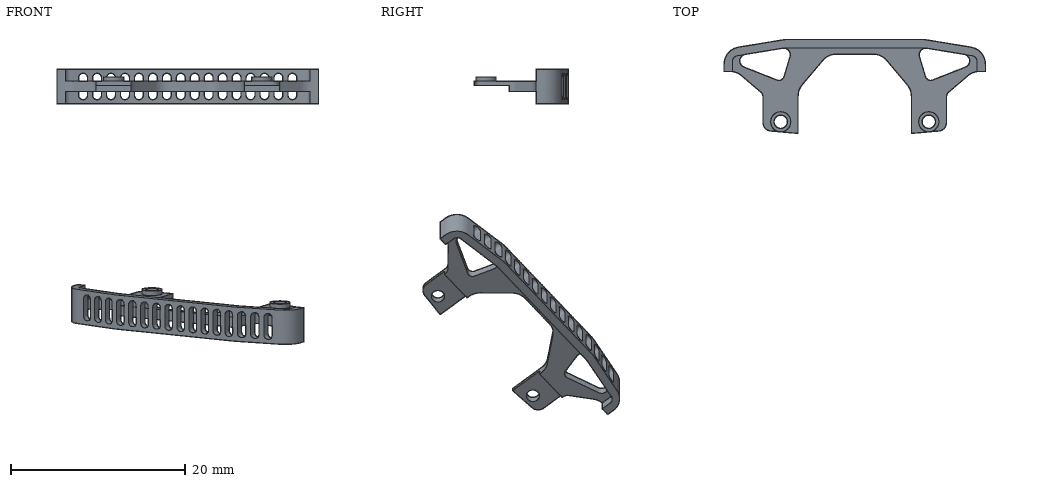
import cadquery as cq
import math


length = 30.0
depth = 10.8
wall_height = 4.0
wall_thickness = 1.0
wall_bend_x = 7.95
sweep_angle = math.radians(9.3)
wall_end_y = -3.7
outer_corner_radius = 2.0
inner_corner_radius = 0.63
inner_bend_radius = 1.2

slot_count = 16
slot_row_length = 24.0
slot_width = 1.0
slot_height = 3.0

plate_thickness = 1.2
plate_edge_y = -1.7
brace_angle = math.radians(49.8)
brace_top_x = 3.05
brace_radius = 1.95
arm_angle = math.radians(40.5)
arm_radius = 1.95
leg_outer_x = 10.53
leg_inner_x = 6.48
leg_shoulder_y = -6.27
leg_shoulder_radius = 0.72
leg_corner_radius = 1.0
leg_end_angle = math.radians(5.0)
leg_thickness = 0.5
leg_step_y = -6.78

window_inner_angle = math.radians(16.7)
window_inner_x = 7.15
window_outer_point = (-12.5, -3.25)
window_lower_angle = math.radians(21.5)
window_radius = 0.75
window_lower_radius = 0.6

boss_x = 8.5
boss_y = -9.45
boss_diameter = 2.3
boss_height = 0.5
hole_diameter = 1.5

half_length = length / 2
plate_top = plate_thickness / 2
sweep_slope = math.tan(sweep_angle)


def line_crossing(p, p_slope, q, q_slope):
    """Point where two lines, each given by a point and dy/dx, cross."""
    x = (q[1] - p[1] + p_slope * p[0] - q_slope * q[0]) / (p_slope - q_slope)
    return (x, p[1] + p_slope * (x - p[0]))


def rounded_prism(corners, bottom, top):
    """Prism over a polygon of (x, y, radius) corners; radius 0 stays sharp."""
    rounded = []
    count = len(corners)
    for i, (x, y, radius) in enumerate(corners):
        corner = cq.Vector(x, y)
        to_previous = (cq.Vector(*corners[i - 1][:2]) - corner).normalized()
        to_next = (cq.Vector(*corners[(i + 1) % count][:2]) - corner).normalized()
        half_angle = to_previous.getAngle(to_next) / 2
        setback = radius / math.tan(half_angle)
        to_arc_middle = radius / math.sin(half_angle) - radius
        bisector = (to_previous + to_next).normalized()
        rounded.append((radius, corner + to_previous * setback,
                        corner + bisector * to_arc_middle, corner + to_next * setback))

    outline = cq.Workplane("XY").workplane(offset=bottom).moveTo(*rounded[0][3].toTuple()[:2])
    for radius, start, middle, end in rounded[1:] + rounded[:1]:
        outline = outline.lineTo(start.x, start.y)
        if radius > 0:
            outline = outline.threePointArc((middle.x, middle.y), (end.x, end.y))
    return outline.close().extrude(top - bottom)


def with_mirror(left_corners):
    """Left-half corners followed by their mirror images in reverse order."""
    return left_corners + [(-x, y, radius) for x, y, radius in reversed(left_corners)]


def footprint(bottom, top):
    """Whole outline: outer wall face, wall ends, arms, legs and middle edge."""
    arm_run = (wall_end_y - leg_shoulder_y) / math.tan(arm_angle)
    brace_drop = (leg_inner_x - brace_top_x) * math.tan(brace_angle)
    leg_end_rise = (leg_outer_x - leg_inner_x) * math.tan(leg_end_angle)
    return rounded_prism(with_mirror([
        (-wall_bend_x, 0, 0),
        (-half_length, -(half_length - wall_bend_x) * sweep_slope, outer_corner_radius),
        (-half_length, wall_end_y, 0),
        (-leg_outer_x - arm_run, wall_end_y, arm_radius),
        (-leg_outer_x, leg_shoulder_y, leg_shoulder_radius),
        (-leg_outer_x, -depth + leg_end_rise, leg_corner_radius),
        (-leg_inner_x, -depth, 0),
        (-leg_inner_x, plate_edge_y - brace_drop, brace_radius),
        (-brace_top_x, plate_edge_y, brace_radius),
    ]), bottom, top)


inner_bend_x = wall_bend_x + wall_thickness * math.tan(sweep_angle / 2)
inner_side_x = half_length - wall_thickness
inner_corner_y = -wall_thickness - (inner_side_x - inner_bend_x) * sweep_slope


def space_inside_wall(bottom, top):
    """Everything enclosed by the inner wall face, open towards -Y."""
    return rounded_prism(with_mirror([
        (-inner_bend_x, -wall_thickness, inner_bend_radius),
        (-inner_side_x, inner_corner_y, inner_corner_radius),
        (-inner_side_x, -2 * depth, 0),
    ]), bottom, top)


def slotted_wall():
    """Full-height wall with a row of upright slots cut through along Y."""
    bottom, top = -wall_height / 2, wall_height / 2
    wall = footprint(bottom, top).cut(space_inside_wall(bottom, top))
    slot_pitch = slot_row_length / (slot_count - 1)
    slots = (
        cq.Workplane("XZ")
        .rarray(slot_pitch, 0.3, slot_count, 1)
        .slot2D(slot_height, slot_width, 90)
        .extrude(depth)
    )
    return wall.cut(slots)


def window():
    """Left triangular window, its upper side in line with the swept inner wall face."""
    upper = ((-inner_bend_x, -wall_thickness), sweep_slope)
    inner = ((-window_inner_x, -wall_thickness), 1 / math.tan(window_inner_angle))
    lower = (window_outer_point, -math.tan(window_lower_angle))
    return rounded_prism([
        (*line_crossing(*upper, *inner), window_radius),
        (*line_crossing(*upper, *lower), window_radius),
        (*line_crossing(*inner, *lower), window_lower_radius),
    ], -plate_top, plate_top)


def plate():
    """Plate within the wall, with windows and with legs thinned from below."""
    body = footprint(-plate_top, plate_top).intersect(space_inside_wall(-plate_top, plate_top))
    below_legs = (
        cq.Workplane("XY")
        .box(length, depth, plate_thickness, centered=(True, False, False))
        .translate((0, leg_step_y - depth, plate_top - leg_thickness - plate_thickness))
    )
    left_window = window()
    return body.cut(below_legs).cut(left_window).cut(left_window.mirror("YZ"))


boss_centers = [(-boss_x, boss_y), (boss_x, boss_y)]
bosses = (
    cq.Workplane("XY").workplane(offset=plate_top)
    .pushPoints(boss_centers).circle(boss_diameter / 2).extrude(boss_height)
)
holes = (
    cq.Workplane("XY").workplane(offset=-plate_top)
    .pushPoints(boss_centers).circle(hole_diameter / 2).extrude(plate_thickness + boss_height)
)

result = slotted_wall().union(plate()).union(bosses).cut(holes)